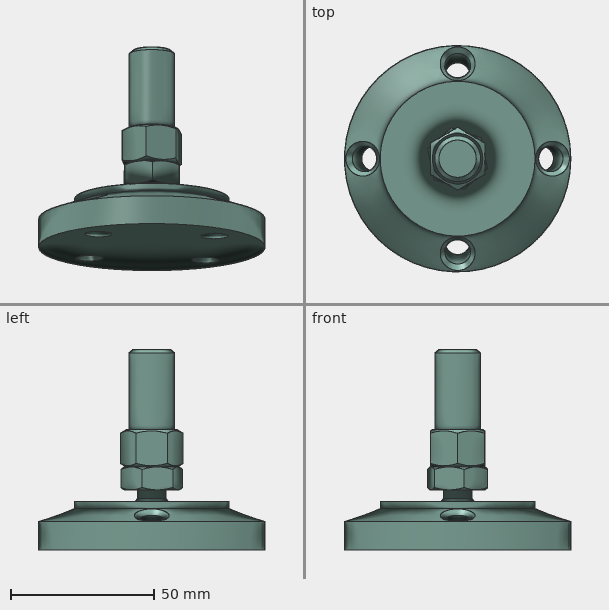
import cadquery as cq
import math


plate_top = 17.0
stud_hex_bottom = 21.0
stud_hex_top = 29.0
nut_top = 42.0
stud_top = 70.03

plate_diameter = 79.0
land_diameter = 54.0
rim_height = 9.9
cone_angle = 20.0
cone_slope = math.tan(math.radians(cone_angle))
cone_rise = (plate_diameter - land_diameter) / 2 * cone_slope

hole_count = 4
hole_diameter = 9.0
countersink_diameter = 12.5
countersink_angle = 90.0
hole_radius = 33.1
hole_mouth_height = rim_height + (plate_diameter / 2 - hole_radius) * cone_slope
hole_length = 2 * plate_top
clearance_above_mouth = 0.5

stud_diameter = 16.0
stud_tip_diameter = 13.0
stud_tip_height = 1.3
neck_diameter = 9.9
neck_bottom = 18.0
ball_diameter = 13.84
ball_center_height = neck_bottom - math.sqrt(ball_diameter**2 - neck_diameter**2) / 2

socket_opening_diameter = 13.0

across_flats = 19.0
across_corners = across_flats / math.cos(math.radians(30))
hex_chamfer_angle = 30.0
stud_hex_turn = 12.0
stud_hex_face_diameter = 19.0
nut_face_diameter = 17.6


def chamfered_hexagon(bottom, top, face_diameter, turn):
    """Hexagonal prism whose corners are turned down to a round face at each end.

    With no turn, two corners lie on the Y axis; turn is counterclockwise in degrees.
    """
    height = top - bottom
    face_radius = face_diameter / 2
    corner_radius = across_corners / 2
    drop = (corner_radius - face_radius) * math.tan(math.radians(hex_chamfer_angle))
    prism = (
        cq.Workplane("XY")
        .polygon(6, across_corners)
        .extrude(height)
        .rotate((0, 0, 0), (0, 0, 1), 90 + turn)
    )
    turned_envelope = (
        cq.Workplane("XZ")
        .moveTo(0, 0)
        .lineTo(face_radius, 0)
        .lineTo(corner_radius, drop)
        .lineTo(corner_radius, height - drop)
        .lineTo(face_radius, height)
        .lineTo(0, height)
        .close()
        .revolve(360, (0, 0, 0), (0, 1, 0))
    )
    return prism.intersect(turned_envelope).translate((0, 0, bottom))


def mounting_hole_cutter(angle):
    """Countersunk drill shape leaning with the cone, placed at an angle about Z."""
    mouth_radius = countersink_diameter / 2
    bore_radius = hole_diameter / 2
    sink_depth = (mouth_radius - bore_radius) / math.tan(math.radians(countersink_angle / 2))
    cutter = (
        cq.Workplane("XZ")
        .moveTo(0, clearance_above_mouth)
        .lineTo(mouth_radius, clearance_above_mouth)
        .lineTo(mouth_radius, 0)
        .lineTo(bore_radius, -sink_depth)
        .lineTo(bore_radius, -hole_length)
        .lineTo(0, -hole_length)
        .close()
        .revolve(360, (0, 0, 0), (0, 1, 0))
    )
    return (
        cutter.rotate((0, 0, 0), (0, 1, 0), cone_angle)
        .translate((hole_radius, 0, hole_mouth_height))
        .rotate((0, 0, 0), (0, 0, 1), angle)
    )


def make_ball():
    """Sphere at the foot of the stud, also the shape of its socket."""
    return cq.Workplane("XY").sphere(ball_diameter / 2).translate((0, 0, ball_center_height))


def make_foot_plate():
    """Disc with a conical shoulder, a raised land, countersunk holes and a ball socket."""
    plate = (
        cq.Workplane("XZ")
        .moveTo(0, 0)
        .lineTo(plate_diameter / 2, 0)
        .lineTo(plate_diameter / 2, rim_height)
        .lineTo(land_diameter / 2, rim_height + cone_rise)
        .lineTo(land_diameter / 2, plate_top)
        .lineTo(0, plate_top)
        .close()
        .revolve(360, (0, 0, 0), (0, 1, 0))
    )
    for index in range(hole_count):
        plate = plate.cut(mounting_hole_cutter(index * 360 / hole_count))
    opening = (
        cq.Workplane("XY")
        .workplane(offset=ball_center_height)
        .circle(socket_opening_diameter / 2)
        .extrude(plate_top - ball_center_height)
    )
    return plate.cut(make_ball()).cut(opening)


def make_stud():
    """Ball, neck, hexagon and plain shank with a chamfered tip, as one piece."""
    neck = (
        cq.Workplane("XY")
        .workplane(offset=ball_center_height)
        .circle(neck_diameter / 2)
        .extrude(stud_hex_bottom - ball_center_height)
    )
    shank = (
        cq.Workplane("XZ")
        .moveTo(0, stud_hex_top)
        .lineTo(stud_diameter / 2, stud_hex_top)
        .lineTo(stud_diameter / 2, stud_top - stud_tip_height)
        .lineTo(stud_tip_diameter / 2, stud_top)
        .lineTo(0, stud_top)
        .close()
        .revolve(360, (0, 0, 0), (0, 1, 0))
    )
    hexagon = chamfered_hexagon(
        stud_hex_bottom, stud_hex_top, stud_hex_face_diameter, stud_hex_turn
    )
    return hexagon.union(neck).union(make_ball()).union(shank)


def make_lock_nut():
    """Hexagon nut bored to the stud diameter, seated on the stud hexagon."""
    bore = (
        cq.Workplane("XY")
        .workplane(offset=stud_hex_top)
        .circle(stud_diameter / 2)
        .extrude(nut_top - stud_hex_top)
    )
    return chamfered_hexagon(stud_hex_top, nut_top, nut_face_diameter, 0).cut(bore)


foot_plate = make_foot_plate()
stud = make_stud()
lock_nut = make_lock_nut()

result = cq.Compound.makeCompound([foot_plate.val(), stud.val(), lock_nut.val()])